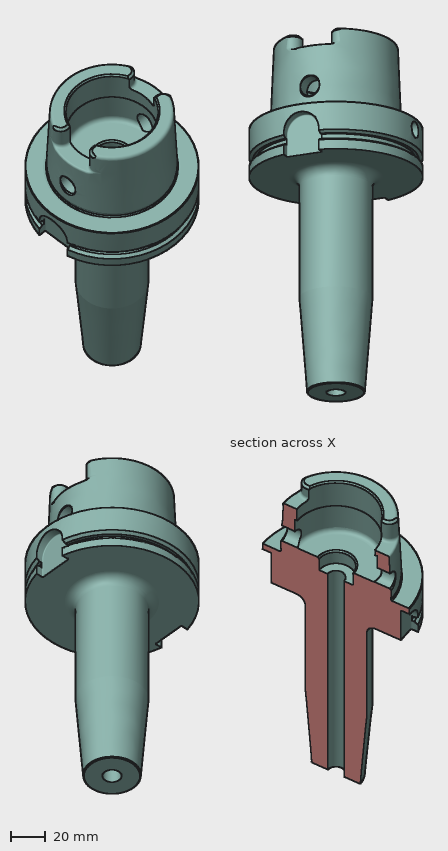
import cadquery as cq
import math

TAPER_TOP = 49.9
NOSE_END = -160.0

TAPER_TOP_RADIUS = 35.75
TAPER_FOOT_RADIUS = 37.75
TAPER_FOOT = 3.0
TAPER_TOP_FILLET = 2.2

RELIEF_RADIUS = 37.5
RELIEF_TOP = 1.9
RELIEF_BOTTOM = 0.8
RELIEF_FLOOR_RADIUS = 38.1
RELIEF_DEPTH = 0.3
RELIEF_OUTER_RADIUS = 39.6

FLANGE_RADIUS = 50.0
FLANGE_BOTTOM = -29.0
FLANGE_CHAMFER = 0.4
GROOVE_RADIUS = 46.0
GROOVE_TOP = -18.5
GROOVE_BOTTOM = -21.8
GROOVE_FLANK_HEIGHT = 1.4
GROOVE_LIP_RADIUS = 47.8

SHANK_RADIUS = 21.1
SHANK_FILLET = 6.0
NOSE_TOP = -102.7
NOSE_RADIUS = 16.7
NOSE_CHAMFER = 0.6

MOUTH_RADIUS = 26.5
MOUTH_BOTTOM = 30.5
CAVITY_RADIUS = 27.9
CAVITY_FLOOR = 8.8
CAVITY_FLOOR_FILLET = 3.0
CAVITY_MOUTH_CHAMFER = 1.0
THROUGH_RADIUS = 5.5
COUNTERBORE_RADIUS = 11.4
COUNTERBORE_DEPTH = 10.0
COUNTERBORE_CHAMFER = 1.0

SLOT_HALF_WIDTH = 9.8
SLOT_FLOOR_FRONT = 34.9
SLOT_FLOOR_BACK = 40.1
SLOT_FLARE_RADIUS = 5.5
SLOT_FLARE_REACH = 36.22
SLOT_TAIL_LENGTH = 8.0
SLOT_FLOOR_FILLET = 2.0
SLOT_EDGE_CHAMFER = 1.6
SLOT_LIP_FILLET = 1.3

CROSS_HOLE_RADIUS = 6.0
CROSS_HOLE_HEIGHT = 15.1
COUNTERSINK_START = 36.6
KEYWAY_HALF_WIDTH = 11.0
KEYWAY_TOP = -4.9
KEYWAY_FLOOR_DISTANCE = 44.0
KEYWAY_FLOOR_FILLET = 0.6
SIDE_HOLE_RADIUS = 4.8
SIDE_HOLE_HEIGHT = -7.1
SIDE_HOLE_DEPTH = 4.0

CLEARANCE = 5.0


def outer_body():
    """Revolve the outside: taper, relief, flange, shank and nose."""
    diagonal = SHANK_FILLET * math.sqrt(0.5)
    fillet_middle = (
        SHANK_RADIUS + SHANK_FILLET - diagonal,
        FLANGE_BOTTOM - SHANK_FILLET + diagonal,
    )
    profile = (
        cq.Workplane("XZ")
        .moveTo(0, TAPER_TOP)
        .lineTo(TAPER_TOP_RADIUS, TAPER_TOP)
        .lineTo(TAPER_FOOT_RADIUS, TAPER_FOOT)
        .lineTo(RELIEF_RADIUS, RELIEF_TOP)
        .lineTo(RELIEF_RADIUS, RELIEF_BOTTOM)
        .lineTo(RELIEF_FLOOR_RADIUS, -RELIEF_DEPTH)
        .lineTo(RELIEF_OUTER_RADIUS, 0.0)
        .lineTo(FLANGE_RADIUS - FLANGE_CHAMFER, 0.0)
        .lineTo(FLANGE_RADIUS, -FLANGE_CHAMFER)
        .lineTo(FLANGE_RADIUS, GROOVE_TOP + GROOVE_FLANK_HEIGHT)
        .lineTo(GROOVE_LIP_RADIUS, GROOVE_TOP)
        .lineTo(GROOVE_RADIUS, GROOVE_TOP)
        .lineTo(GROOVE_RADIUS, GROOVE_BOTTOM)
        .lineTo(GROOVE_LIP_RADIUS, GROOVE_BOTTOM)
        .lineTo(FLANGE_RADIUS, GROOVE_BOTTOM - GROOVE_FLANK_HEIGHT)
        .lineTo(FLANGE_RADIUS, FLANGE_BOTTOM)
        .lineTo(SHANK_RADIUS + SHANK_FILLET, FLANGE_BOTTOM)
        .threePointArc(fillet_middle, (SHANK_RADIUS, FLANGE_BOTTOM - SHANK_FILLET))
        .lineTo(SHANK_RADIUS, NOSE_TOP)
        .lineTo(NOSE_RADIUS, NOSE_END + NOSE_CHAMFER)
        .lineTo(NOSE_RADIUS - NOSE_CHAMFER, NOSE_END)
        .lineTo(0, NOSE_END)
        .close()
    )
    body = profile.revolve(360, (0, 0), (0, 1))
    return body.faces(">Z").edges().fillet(TAPER_TOP_FILLET)


def cavity():
    """Open bore of the taper: chamfered mouth, slightly wider chamber and rounded floor."""
    chamber = (
        cq.Workplane("XY", origin=(0, 0, CAVITY_FLOOR))
        .circle(CAVITY_RADIUS)
        .extrude(MOUTH_BOTTOM - CAVITY_FLOOR)
        .faces("<Z").edges().fillet(CAVITY_FLOOR_FILLET)
    )
    mouth = cq.Workplane("XY", origin=(0, 0, MOUTH_BOTTOM)).circle(MOUTH_RADIUS)
    mouth = mouth.extrude(TAPER_TOP - MOUTH_BOTTOM)
    return chamber.union(mouth).union(mouth_cone(MOUTH_RADIUS, TAPER_TOP, CAVITY_MOUTH_CHAMFER))


def mouth_cone(radius, top, size):
    """Cone that chamfers the upper mouth of a vertical hole."""
    return cq.Workplane(cq.Solid.makeCone(radius, radius + size, size, cq.Vector(0, 0, top - size)))


def central_bore():
    """Through hole with a chamfered counterbore in the cavity floor."""
    through = cq.Workplane("XY", origin=(0, 0, NOSE_END)).circle(THROUGH_RADIUS)
    through = through.extrude(CAVITY_FLOOR - NOSE_END)
    counterbore = cq.Workplane("XY", origin=(0, 0, CAVITY_FLOOR)).circle(COUNTERBORE_RADIUS)
    counterbore = counterbore.extrude(-COUNTERBORE_DEPTH)
    chamfer = mouth_cone(COUNTERBORE_RADIUS, CAVITY_FLOOR, COUNTERBORE_CHAMFER)
    return through.union(counterbore).union(chamfer)


def slot_outline(height):
    """Plan of the -Y drive slot: parallel walls that flare outward in arcs.

    Each arc ends square to the radius through its centre and runs on as a tangent line.
    """
    centre_x = SLOT_HALF_WIDTH + SLOT_FLARE_RADIUS
    centre_distance = SLOT_FLARE_REACH - SLOT_FLARE_RADIUS
    end_angle = math.asin(centre_x / centre_distance)
    centre_y = centre_distance * math.cos(end_angle)
    middle_angle = (end_angle - math.pi / 2) / 2
    middle_x = centre_x + SLOT_FLARE_RADIUS * math.sin(middle_angle)
    middle_y = centre_y + SLOT_FLARE_RADIUS * math.cos(middle_angle)
    end_x = SLOT_FLARE_REACH * math.sin(end_angle)
    end_y = SLOT_FLARE_REACH * math.cos(end_angle)
    tail_x = end_x + SLOT_TAIL_LENGTH * math.cos(end_angle)
    tail_y = end_y - SLOT_TAIL_LENGTH * math.sin(end_angle)
    outer_y = SLOT_FLARE_REACH + CLEARANCE
    return (
        cq.Workplane("XY", origin=(0, 0, height))
        .moveTo(-SLOT_HALF_WIDTH, 0)
        .lineTo(-SLOT_HALF_WIDTH, -centre_y)
        .threePointArc((-middle_x, -middle_y), (-end_x, -end_y))
        .lineTo(-tail_x, -tail_y)
        .lineTo(-tail_x, -outer_y)
        .lineTo(tail_x, -outer_y)
        .lineTo(tail_x, -tail_y)
        .lineTo(end_x, -end_y)
        .threePointArc((middle_x, -middle_y), (SLOT_HALF_WIDTH, -centre_y))
        .lineTo(SLOT_HALF_WIDTH, 0)
        .close()
    )


def drive_slot(floor):
    """Cutter for the -Y drive slot, rounded at the floor and widened at the top."""
    slot = slot_outline(floor).extrude(TAPER_TOP - floor)
    slot = slot.faces("<Z").edges().fillet(SLOT_FLOOR_FILLET)
    widening = slot_outline(TAPER_TOP - SLOT_EDGE_CHAMFER).extrude(SLOT_EDGE_CHAMFER, taper=-45)
    return slot.union(widening)


def round_shelf_lip(body, side, floor):
    """Round the outer edge of a slot floor; side is the sign of Y where it lies."""
    lip_middle = (0, side * TAPER_FOOT_RADIUS, floor)
    return body.edges(cq.selectors.NearestToPointSelector(lip_middle)).fillet(SLOT_LIP_FILLET)


def keyway():
    """Round-topped keyway through the -Y side of the flange, open at the bottom."""
    arch_centre = KEYWAY_TOP - KEYWAY_HALF_WIDTH
    length = FLANGE_RADIUS + CLEARANCE - KEYWAY_FLOOR_DISTANCE
    bottom = FLANGE_BOTTOM - CLEARANCE
    return (
        cq.Workplane("XZ", origin=(0, -KEYWAY_FLOOR_DISTANCE, 0))
        .moveTo(-KEYWAY_HALF_WIDTH, bottom)
        .lineTo(-KEYWAY_HALF_WIDTH, arch_centre)
        .threePointArc((0, KEYWAY_TOP), (KEYWAY_HALF_WIDTH, arch_centre))
        .lineTo(KEYWAY_HALF_WIDTH, bottom)
        .close()
        .extrude(length)
        .faces(">Y").edges().fillet(KEYWAY_FLOOR_FILLET)
    )


def cross_hole():
    """Hole through the -Y taper wall, countersunk at 45 degrees from the outside."""
    outer_y = COUNTERSINK_START + CLEARANCE
    half_profile = (
        cq.Workplane("XY", origin=(0, 0, CROSS_HOLE_HEIGHT))
        .moveTo(0, -COUNTERBORE_RADIUS)
        .lineTo(CROSS_HOLE_RADIUS, -COUNTERBORE_RADIUS)
        .lineTo(CROSS_HOLE_RADIUS, -COUNTERSINK_START)
        .lineTo(CROSS_HOLE_RADIUS + CLEARANCE, -outer_y)
        .lineTo(0, -outer_y)
        .close()
    )
    return half_profile.revolve(360, (0, 0), (0, 1))


def side_hole():
    """Flat-bottomed round recess in the -X side of the flange."""
    hole = cq.Workplane("YZ", origin=(-FLANGE_RADIUS, 0, SIDE_HOLE_HEIGHT)).circle(SIDE_HOLE_RADIUS)
    return hole.extrude(SIDE_HOLE_DEPTH)


def half_turn(shape):
    """The same shape on the opposite side of the axis."""
    return shape.rotate((0, 0, 0), (0, 0, 1), 180)


body = outer_body().cut(cavity()).cut(central_bore())
body = body.cut(drive_slot(SLOT_FLOOR_FRONT))
body = body.cut(half_turn(drive_slot(SLOT_FLOOR_BACK)))
body = body.cut(keyway()).cut(half_turn(keyway()))
body = round_shelf_lip(body, -1, SLOT_FLOOR_FRONT)
body = round_shelf_lip(body, 1, SLOT_FLOOR_BACK)
body = body.cut(cross_hole()).cut(half_turn(cross_hole()))
body = body.cut(side_hole())

result = body